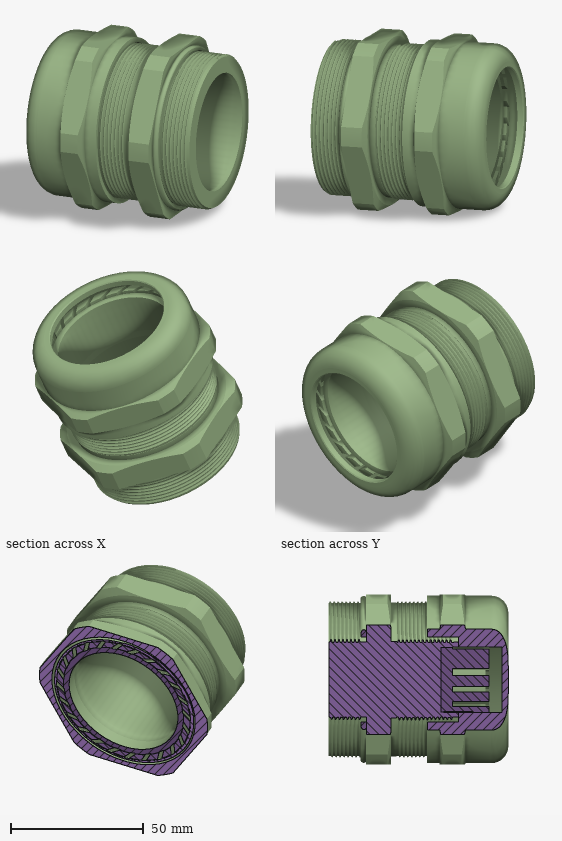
import cadquery as cq
import math


LENGTH = 67.6
LIP_DEPTH = 2.5
NUT_HEX_START = 16.1
NUT_HEX_END = 26.0
NUT_END = 30.55
BODY_START = 18.9
CLAW_START = 7.3
SEAL_START = 8.6
SEAL_END = 25.55
FUNNEL_END = 28.4
COLLAR_START = 42.1
BODY_HEX_START = 44.2
BODY_HEX_END = 53.6
RING_END = 55.55

HEX_ACROSS_FLATS = 64.0
HEX_ACROSS_CORNERS = HEX_ACROSS_FLATS / math.cos(math.radians(30))
HEX_TURNED_RADIUS = 70.05 / 2
NUT_CHAMFER = 1.5
BODY_CHAMFER = 1.2
BODY_HEX_FACE_RADIUS = 31.95

NUT_RADIUS = 63.05 / 2
DOME_RADIUS = 6.45
LIP_RADIUS = 45.5 / 2
LIP_CHAMFER = 0.35

CORE_RADIUS = 57.6 / 2
COLLAR_RADIUS = 57.9 / 2
FUNNEL_RADIUS = 45.5 / 2
BODY_BORE_RADIUS = 45.1 / 2
SEAL_BORE_RADIUS = 45.05 / 2
SEAL_RADIUS = 49.9 / 2
CLAW_RADIUS = 55.75 / 2
RING_RADIUS = 31.4
RING_INNER_EDGE_RADIUS = 31.1
RING_OUTER_EDGE_RADIUS = 30.75

FINGER_COUNT = 24
SLOT_END = 21.0
SLOT_WIDTH = 1.4
SLOT_DEPTH = 4 * (CLAW_RADIUS - SEAL_RADIUS)
SLOT_SLANT = 50
SLOT_ANGLE = -9.2

CREST_RADIUS = 29.5
THREAD_BORE_RADIUS = 59.4 / 2
RIDGE_WIDTH = 1.05
RIDGE_ROOT_OVERLAP = 0.1
PITCH = 10.5 / 7
RIDGE_RUNOUT = 0.035
NUT_THREAD_END = COLLAR_START - RIDGE_WIDTH / 2 - RIDGE_RUNOUT
NUT_THREAD_TURNS = 14
ENTRY_THREAD_END = LENGTH - RIDGE_WIDTH / 2 - RIDGE_RUNOUT
ENTRY_THREAD_TURNS = 8


def tube(start, end, outer_radius, inner_radius=0):
    """Cylinder or tube along X between two stations."""
    face = cq.Workplane("YZ", origin=(start, 0, 0)).circle(outer_radius)
    if inner_radius:
        face = face.circle(inner_radius)
    return face.extrude(end - start)


def revolve_about_x(profile):
    """Revolve an (x, radius) profile about the X axis."""
    return profile.close().revolve(360, (0, 0, 0), (1, 0, 0))


def hexagon(start, end, face_radius, start_chamfer, end_chamfer=0):
    """Hexagon with flats facing Z, turned down at the corners and cone-chamfered."""
    prism = (
        cq.Workplane("YZ", origin=(start, 0, 0))
        .polygon(6, HEX_ACROSS_CORNERS)
        .extrude(end - start)
    )
    turned = (
        cq.Workplane("XY")
        .moveTo(start, 0)
        .lineTo(start, face_radius)
        .lineTo(start + start_chamfer, HEX_TURNED_RADIUS)
        .lineTo(end - end_chamfer, HEX_TURNED_RADIUS)
    )
    if end_chamfer:
        turned = turned.lineTo(end, face_radius)
    return prism.intersect(revolve_about_x(turned.lineTo(end, 0)))


def thread_ridge(end, turns):
    """Right-hand triangular helical ridge that ends above the axis, on the +Z side."""
    length = turns * PITCH
    helix = cq.Wire.makeHelix(PITCH, length, CORE_RADIUS)
    foot_radius = CORE_RADIUS - RIDGE_ROOT_OVERLAP
    profile = cq.Workplane("XZ").polyline([
        (foot_radius, -RIDGE_WIDTH / 2),
        (CREST_RADIUS, 0),
        (foot_radius, RIDGE_WIDTH / 2),
    ]).close()
    ridge = profile.sweep(cq.Workplane(helix), isFrenet=True)
    along_x = ridge.rotate((0, 0, 0), (0, 1, 0), 90).rotate((0, 0, 0), (1, 0, 0), 180)
    return along_x.translate((end - length, 0, 0))


def make_dome_nut():
    dome_centre_radius = NUT_RADIUS - DOME_RADIUS
    arc_offset = DOME_RADIUS * math.sqrt(0.5)
    shell = revolve_about_x(
        cq.Workplane("XY")
        .moveTo(0, LIP_RADIUS + LIP_CHAMFER)
        .lineTo(0, dome_centre_radius)
        .threePointArc(
            (DOME_RADIUS - arc_offset, dome_centre_radius + arc_offset),
            (DOME_RADIUS, NUT_RADIUS),
        )
        .lineTo(NUT_END, NUT_RADIUS)
        .lineTo(NUT_END, LIP_RADIUS)
        .lineTo(LIP_CHAMFER, LIP_RADIUS)
    )
    claw_cavity = tube(LIP_DEPTH, BODY_START, CLAW_RADIUS)
    thread_bore = tube(BODY_START, NUT_END, THREAD_BORE_RADIUS)
    hexagon_ring = hexagon(NUT_HEX_START, NUT_HEX_END, NUT_RADIUS, NUT_CHAMFER, NUT_CHAMFER)
    return shell.union(hexagon_ring).cut(claw_cavity).cut(thread_bore)


def make_claw():
    claw = tube(CLAW_START, SEAL_END, CLAW_RADIUS, SEAL_RADIUS)
    slot = (
        cq.Workplane("YZ", origin=(CLAW_START, 0, 0))
        .rect(SLOT_DEPTH, SLOT_WIDTH)
        .extrude(SLOT_END - CLAW_START)
        .rotate((0, 0, 0), (1, 0, 0), SLOT_SLANT)
        .translate((0, SEAL_RADIUS, 0))
    )
    for index in range(FINGER_COUNT):
        angle = SLOT_ANGLE + index * 360 / FINGER_COUNT
        claw = claw.cut(slot.rotate((0, 0, 0), (1, 0, 0), angle))
    return claw


def make_seal():
    return tube(SEAL_START, SEAL_END, SEAL_RADIUS, SEAL_BORE_RADIUS)


def make_body():
    core = tube(BODY_START, LENGTH, CORE_RADIUS)
    collar = tube(COLLAR_START, BODY_HEX_START, COLLAR_RADIUS)
    flange = hexagon(BODY_HEX_START, BODY_HEX_END, BODY_HEX_FACE_RADIUS, BODY_CHAMFER)
    body = core.union(collar).union(flange)
    body = body.cut(tube(BODY_START, SEAL_END, CLAW_RADIUS))
    passage = revolve_about_x(
        cq.Workplane("XY")
        .moveTo(SEAL_END, 0)
        .lineTo(SEAL_END, FUNNEL_RADIUS)
        .lineTo(FUNNEL_END, BODY_BORE_RADIUS)
        .lineTo(LENGTH, BODY_BORE_RADIUS)
        .lineTo(LENGTH, 0)
    )
    body = body.cut(passage)
    body = body.union(thread_ridge(NUT_THREAD_END, NUT_THREAD_TURNS))
    return body.union(thread_ridge(ENTRY_THREAD_END, ENTRY_THREAD_TURNS))


def make_sealing_ring():
    """Ring with a rounded rim that slips over the thread crests and seats on the flange."""
    crown = ((BODY_HEX_END + RING_END) / 2, RING_RADIUS)
    return revolve_about_x(
        cq.Workplane("XY")
        .moveTo(BODY_HEX_END, THREAD_BORE_RADIUS)
        .lineTo(BODY_HEX_END, RING_INNER_EDGE_RADIUS)
        .threePointArc(crown, (RING_END, RING_OUTER_EDGE_RADIUS))
        .lineTo(RING_END, THREAD_BORE_RADIUS)
    )


dome_nut = make_dome_nut()
claw = make_claw()
seal = make_seal()
body = make_body()
sealing_ring = make_sealing_ring()

result = cq.Compound.makeCompound([
    dome_nut.solids().val(),
    claw.solids().val(),
    seal.solids().val(),
    body.solids().val(),
    sealing_ring.solids().val(),
])